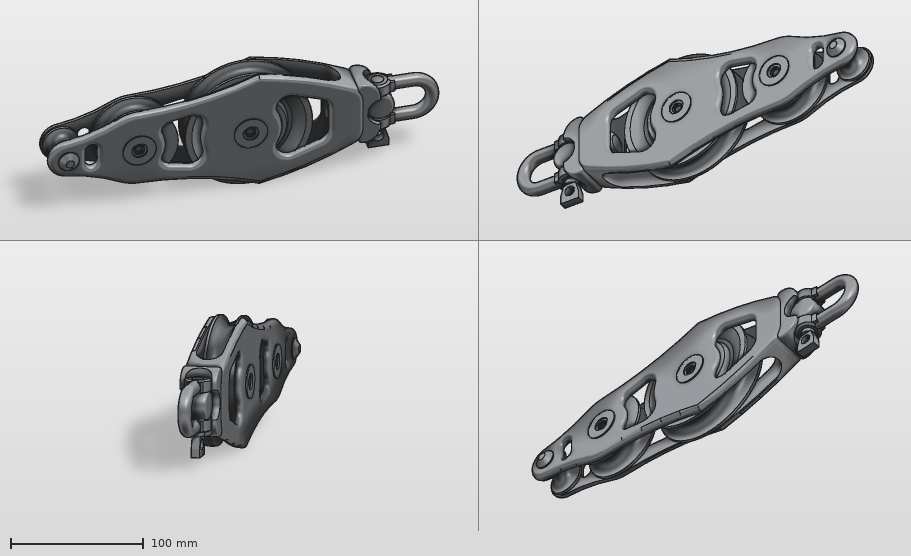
import cadquery as cq
import math


TIP_Y = 150.5
HEIGHT = 99.3

CHEEK_OUTER_X = 15.5
CHEEK_INNER_X = 10.0
EDGE_FILLET = 4.0
HEAD_Y = 89.0
HEAD_FLAT_HALF = 13.0
HEAD_CORNER_SIDE = (86.7, 20.5)
SHOULDER = (80.3, 26.0)
CROWN = (7.0, HEIGHT / 2)
CROWN_SIDE = (45.8, 40.0)
WAIST_SIDE = (-32.0, 38.0)
TAIL_SIDE = (-119.0, 21.0)
TAIL_RADIUS = 15.5
TAIL_ANGLE = math.radians(12)
HIP_RADIUS = 32.0
HIP_ANGLE = math.radians(25)
WEB_END_Y = 63.3

SMALL_Y = -86.7
ROLLER_Y = -141.8
BIG_RADIUS = 49.5
SMALL_RADIUS = 31.7
ROLLER_RADIUS = 14.0
SHEAVE_HALF = 10.0
GROOVE_HALF = 8.0
GROOVE_DEPTH = 8.0
ROLLER_GROOVE_DEPTH = 7.0
RECESS_RIM_RADIUS = 44.5
RECESS_OUTER_RADIUS = 34.7
RECESS_INNER_RADIUS = 31.5
RECESS_HUB_RADIUS = 29.2
RECESS_FLOOR_X = 6.0

HEAD_WINDOW_FRONT = (52.3, 9.5)
HEAD_WINDOW_REAR = (30.5, 17.2)
WAIST_WINDOW_FRONT = (-45.8, 13.0)
WAIST_WINDOW_REAR = (-61.5, 12.5)
WIDE_CORNER = 9.8
TIGHT_CORNER = 7.0
CORNER_BEND = math.pi / 5
SLOT_Y = -123.3
SLOT_LENGTH = 20.0
SLOT_WIDTH = 9.5

BOLT_HEAD_DIAMETER = 25.8
BOLT_HEAD_X = 16.3
SOCKET_DIAMETERS = (12.0, 8.3, 5.8)
SOCKET_STEP = 1.2
RIVET_DIAMETER = 16.0
RIVET_TIP_DIAMETER = 6.5
RIVET_SHANK_DIAMETER = 9.5
RIVET_TIP_X = 20.0

PIN_Y = 102.7
BRACKET_HALF = 14.5
BRACKET_TOP_Y = 88.3
BRACKET_TOP_Z = 26.5
BRACKET_CORNER = 13.5
BRACKET_BEAD = 4.3
BRACKET_EDGE = 1.5
EYE_DIAMETER = 22.8
EYE_HALF = 9.2
EYE_FILLET = 2.8
SWIVEL_HEAD_DIAMETER = 19.7
SWIVEL_TIP_DIAMETER = 14.0
SWIVEL_TIP_Y = 62.5
SWIVEL_TIP_HEIGHT = 1.8
SWIVEL_SEAT_Y = 80.0

BAR_DIAMETER = 10.0
SHACKLE_WIDTH = 40.0
BOW_RADIUS = (SHACKLE_WIDTH - BAR_DIAMETER) / 2
BOW_Y = TIP_Y - SHACKLE_WIDTH / 2
EAR_DIAMETER = 20.0
EAR_BEVEL = 2.5
EAR_BEVEL_DEPTH = 1.0
EAR_SPACE_DIAMETER = 21.5
EAR_ROOT_Y = 115.0
PIN_DIAMETER = 9.5
PIN_PROUD = 0.3
PIN_COLLAR = 10.5
TAB_WIDTH = 16.0
TAB_THICKNESS = 6.5
TAB_HOLE = 8.3
TAB_HOLE_Z = -30.0
TAB_TOP_Z = -23.7
TAB_SIDE_Z = -33.0
TAB_END_Z = -39.5


def mirror_z(point):
    """The (y, z) point on the other side of Z=0."""
    return (point[0], -point[1])


def on_circle(centre, radius, direction):
    """Point of a circle in the given direction, in radians."""
    return (centre[0] + radius * math.cos(direction), centre[1] + radius * math.sin(direction))


def along_x(radius, half_length, y):
    """Cylinder on the X direction, centred on X=0, Z=0."""
    return cq.Workplane("YZ").center(y, 0).circle(radius).extrude(half_length, both=True)


def turned_on_x(profile, y):
    """Revolve a closed (x, radius) wire about the X direction at the given y."""
    return profile.close().revolve(360, (0, 0, 0), (1, 0, 0)).translate((0, y, 0))


def cheek_outline():
    """Outline of both cheek plates, walked from the head to the tail and back."""
    flat = (HEAD_Y, HEAD_FLAT_HALF)
    upright = math.pi / 2
    small_axis = (SMALL_Y, 0)
    hip_start = on_circle(small_axis, HIP_RADIUS, upright)
    hip_middle = on_circle(small_axis, HIP_RADIUS, upright + HIP_ANGLE / 2)
    hip_end = on_circle(small_axis, HIP_RADIUS, upright + HIP_ANGLE)
    tail = on_circle((ROLLER_Y, 0), TAIL_RADIUS, upright + TAIL_ANGLE)
    arcs = [(flat, HEAD_CORNER_SIDE, SHOULDER), (SHOULDER, CROWN_SIDE, CROWN), (CROWN, WAIST_SIDE, hip_start),
            (hip_start, hip_middle, hip_end), (hip_end, TAIL_SIDE, tail)]
    outline = cq.Workplane("YZ").moveTo(*flat)
    for _, middle, end in arcs:
        outline = outline.threePointArc(middle, end)
    outline = outline.threePointArc((ROLLER_Y - TAIL_RADIUS, 0), mirror_z(tail))
    for start, middle, _ in reversed(arcs):
        outline = outline.threePointArc(mirror_z(middle), mirror_z(start))
    return outline.close()


def relieved_end(corner, radius, axle_y):
    """Touch point and middle of the arc round an axle that is tangent to a corner circle."""
    away = math.atan2(corner[1], corner[0] - axle_y)
    touch = on_circle(corner, radius, away + math.pi)
    relief = math.hypot(corner[0] - axle_y, corner[1]) - radius
    side = 1 if corner[0] > axle_y else -1
    return touch, (axle_y + side * relief, 0)


def window(front, front_radius, front_axle, rear, rear_radius, rear_axle):
    """Cheek window: two corner circles above Z=0, mirrored below.

    Each end is an arc round the axle at the given y. The front end is straight if front_axle is None.
    """
    span = math.hypot(front[0] - rear[0], front[1] - rear[1])
    slope = math.atan2(rear[1] - front[1], front[0] - rear[0])
    normal = math.pi / 2 - slope + math.asin((front_radius - rear_radius) / span)
    front_top = on_circle(front, front_radius, normal)
    rear_top = on_circle(rear, rear_radius, normal)
    if front_axle is not None:
        front_touch, front_middle = relieved_end(front, front_radius, front_axle)
    else:
        front_touch = (front[0] + front_radius, front[1])
    rear_touch, rear_middle = relieved_end(rear, rear_radius, rear_axle)
    front_bend = on_circle(front, front_radius, CORNER_BEND)
    rear_bend = on_circle(rear, rear_radius, math.pi - CORNER_BEND)

    wire = cq.Workplane("YZ").moveTo(*front_touch).threePointArc(front_bend, front_top)
    wire = wire.lineTo(*rear_top).threePointArc(rear_bend, rear_touch)
    wire = wire.threePointArc(rear_middle, mirror_z(rear_touch))
    wire = wire.threePointArc(mirror_z(rear_bend), mirror_z(rear_top))
    wire = wire.lineTo(*mirror_z(front_top)).threePointArc(mirror_z(front_bend), mirror_z(front_touch))
    if front_axle is not None:
        wire = wire.threePointArc(front_middle, front_touch)
    return wire.close().extrude(2 * CHEEK_OUTER_X, both=True)


def cheeks():
    """Both cheek plates, joined by a web at the head whose end is hollowed in a half round."""
    body = cheek_outline().extrude(CHEEK_OUTER_X, both=True)
    body = body.cut(window(HEAD_WINDOW_FRONT, WIDE_CORNER, None, HEAD_WINDOW_REAR, WIDE_CORNER, 0))
    body = body.cut(window(WAIST_WINDOW_FRONT, WIDE_CORNER, 0, WAIST_WINDOW_REAR, TIGHT_CORNER, SMALL_Y))
    slot = cq.Workplane("YZ").center(SLOT_Y, 0).slot2D(SLOT_LENGTH, SLOT_WIDTH, 90)
    body = body.cut(slot.extrude(CHEEK_OUTER_X, both=True))
    body = body.faces("<X or >X").edges().fillet(EDGE_FILLET)

    gap_length = WEB_END_Y - ROLLER_Y + 2 * TAIL_RADIUS
    gap = cq.Workplane("XY").center(0, WEB_END_Y - gap_length / 2).rect(2 * CHEEK_INNER_X, gap_length)
    gap = gap.extrude(HEIGHT, both=True)
    hollow = cq.Workplane("XY").center(0, WEB_END_Y).circle(CHEEK_INNER_X).extrude(HEIGHT, both=True)
    return body.cut(gap).cut(hollow)


def sheave(radius, y, groove_depth=GROOVE_DEPTH):
    """Wheel with a round rope groove."""
    wheel = (cq.Workplane("XY").moveTo(-SHEAVE_HALF, 0).lineTo(-SHEAVE_HALF, radius)
             .lineTo(-GROOVE_HALF, radius)
             .threePointArc((0, radius - groove_depth), (GROOVE_HALF, radius))
             .lineTo(SHEAVE_HALF, radius).lineTo(SHEAVE_HALF, 0))
    return turned_on_x(wheel, y)


def big_sheave():
    """Large sheave with a dished ring in each side face."""
    wheel = sheave(BIG_RADIUS, 0)
    for side in (-1, 1):
        dish = (cq.Workplane("XY").moveTo(side * SHEAVE_HALF, RECESS_RIM_RADIUS)
                .lineTo(side * RECESS_FLOOR_X, RECESS_OUTER_RADIUS)
                .lineTo(side * RECESS_FLOOR_X, RECESS_INNER_RADIUS)
                .lineTo(side * SHEAVE_HALF, RECESS_HUB_RADIUS))
        wheel = wheel.cut(turned_on_x(dish, 0))
    return wheel


def bolt(y):
    """Axle bolt with a flat disc head at each end."""
    return along_x(BOLT_HEAD_DIAMETER / 2, BOLT_HEAD_X, y)


def bolt_sockets(y):
    """Stepped round sockets sunk into both heads of an axle bolt."""
    sockets = cq.Workplane("YZ")
    for step, diameter in enumerate(SOCKET_DIAMETERS, start=1):
        depth = step * SOCKET_STEP
        socket = cq.Workplane("YZ", origin=(BOLT_HEAD_X - depth, y, 0)).circle(diameter / 2).extrude(depth)
        sockets = sockets.add(socket).add(socket.mirror("YZ"))
    return sockets.combine()


def rivet():
    """Roller axle: a thin shank with a cone head at each end."""
    base = RIVET_DIAMETER / 2
    tip = RIVET_TIP_DIAMETER / 2
    shank = RIVET_SHANK_DIAMETER / 2
    profile = (cq.Workplane("XY").moveTo(-RIVET_TIP_X, 0).lineTo(-RIVET_TIP_X, tip)
               .lineTo(-BOLT_HEAD_X, base).lineTo(-CHEEK_INNER_X, base)
               .lineTo(-CHEEK_INNER_X, shank).lineTo(CHEEK_INNER_X, shank)
               .lineTo(CHEEK_INNER_X, base).lineTo(BOLT_HEAD_X, base)
               .lineTo(RIVET_TIP_X, tip).lineTo(RIVET_TIP_X, 0))
    return turned_on_x(profile, ROLLER_Y)


def bracket():
    """Swivel bracket ahead of the cheeks, hollowed round the eye and round the shackle ears."""
    front_y = BRACKET_TOP_Y + BRACKET_CORNER
    corner_z = BRACKET_TOP_Z - BRACKET_CORNER
    middle = on_circle((BRACKET_TOP_Y, corner_z), BRACKET_CORNER, math.pi / 4)
    top = (BRACKET_TOP_Y, BRACKET_TOP_Z)
    back = (BRACKET_TOP_Y - BRACKET_BEAD, BRACKET_TOP_Z - BRACKET_BEAD)
    bead_middle = on_circle((BRACKET_TOP_Y, back[1]), BRACKET_BEAD, math.pi * 3 / 4)
    profile = (cq.Workplane("YZ").moveTo(front_y, -corner_z).lineTo(front_y, corner_z)
               .threePointArc(middle, top).threePointArc(bead_middle, back)
               .lineTo(*mirror_z(back))
               .threePointArc(mirror_z(bead_middle), mirror_z(top))
               .threePointArc(mirror_z(middle), (front_y, -corner_z)).close())
    body = profile.extrude(BRACKET_HALF, both=True)
    body = body.faces("<X or >X").edges().fillet(BRACKET_EDGE)
    ear_space = cq.Workplane("XY").center(0, PIN_Y).circle(EAR_SPACE_DIAMETER / 2).extrude(HEIGHT, both=True)
    return body.cut(along_x(EYE_DIAMETER / 2, BRACKET_HALF, PIN_Y)).cut(ear_space)


def eye():
    """Eye of the swivel, a round-edged disc across the shackle pin."""
    disc = along_x(EYE_DIAMETER / 2, EYE_HALF, PIN_Y)
    return disc.faces("<X or >X").edges().fillet(EYE_FILLET)


def swivel_bolt_head():
    """Round bolt head with a coned tip, lying in the hollow of the web."""
    radius = SWIVEL_HEAD_DIAMETER / 2
    profile = (cq.Workplane("XY").moveTo(0, SWIVEL_TIP_Y).lineTo(SWIVEL_TIP_DIAMETER / 2, SWIVEL_TIP_Y)
               .lineTo(radius, SWIVEL_TIP_Y + SWIVEL_TIP_HEIGHT)
               .lineTo(radius, SWIVEL_SEAT_Y).lineTo(0, SWIVEL_SEAT_Y).close())
    return profile.revolve(360, (0, 0, 0), (0, 1, 0))


def shackle():
    """U-shaped round bar with a drum-shaped ear at the end of each leg."""
    path = (cq.Workplane("YZ").moveTo(PIN_Y, BOW_RADIUS).lineTo(BOW_Y, BOW_RADIUS)
            .threePointArc((BOW_Y + BOW_RADIUS, 0), (BOW_Y, -BOW_RADIUS)).lineTo(PIN_Y, -BOW_RADIUS))
    start = cq.Workplane("XZ", origin=(0, PIN_Y, BOW_RADIUS))
    body = start.circle(BAR_DIAMETER / 2).sweep(path)
    bar = BAR_DIAMETER / 2
    ear_radius = EAR_DIAMETER / 2
    bevel_z = bar - EAR_BEVEL_DEPTH
    face_radius = ear_radius - EAR_BEVEL
    ear_profile = [(0, -bar), (face_radius, -bar), (ear_radius, -bevel_z),
                   (ear_radius, bevel_z), (face_radius, bar), (0, bar)]
    ear = cq.Workplane("XZ").polyline(ear_profile).close().revolve(360, (0, 0, 0), (0, 1, 0))
    root_outline = [(-bar, EAR_ROOT_Y), (bar, EAR_ROOT_Y), (face_radius, PIN_Y), (-face_radius, PIN_Y)]
    for side in (-1, 1):
        root = cq.Workplane("XY", origin=(0, 0, side * BOW_RADIUS)).polyline(root_outline).close()
        body = body.union(ear.translate((0, PIN_Y, side * BOW_RADIUS)))
        body = body.union(root.extrude(bevel_z, both=True))
    return body


def shackle_pin():
    """Shackle pin ending below the lower ear in a flat tab with a hole."""
    top_z = SHACKLE_WIDTH / 2 + PIN_PROUD
    pin = cq.Workplane("XY", origin=(0, PIN_Y, 0)).circle(PIN_DIAMETER / 2).extrude(top_z)
    collar = cq.Workplane("XY", origin=(0, PIN_Y, 0)).circle(PIN_COLLAR / 2).extrude(TAB_TOP_Z)
    neck = PIN_COLLAR / 2
    side = TAB_WIDTH / 2
    tab = (cq.Workplane("YZ").polyline([(neck, TAB_TOP_Z), (side, TAB_SIDE_Z), (side, TAB_END_Z),
                                        (-side, TAB_END_Z), (-side, TAB_SIDE_Z), (-neck, TAB_TOP_Z)])
           .close().extrude(TAB_THICKNESS / 2, both=True))
    hole = cq.Workplane("YZ").center(0, TAB_HOLE_Z).circle(TAB_HOLE / 2).extrude(TAB_THICKNESS, both=True)
    return pin.union(collar).union(tab.cut(hole).translate((0, PIN_Y, 0)))


result = cheeks()
wheels = (big_sheave(), sheave(SMALL_RADIUS, SMALL_Y), sheave(ROLLER_RADIUS, ROLLER_Y, ROLLER_GROOVE_DEPTH))
axles = (bolt(0), bolt(SMALL_Y), rivet())
head = (bracket(), eye(), swivel_bolt_head(), shackle(), shackle_pin())
for component in wheels + axles + head:
    result = result.union(component)
for bolt_y in (0, SMALL_Y):
    result = result.cut(bolt_sockets(bolt_y))